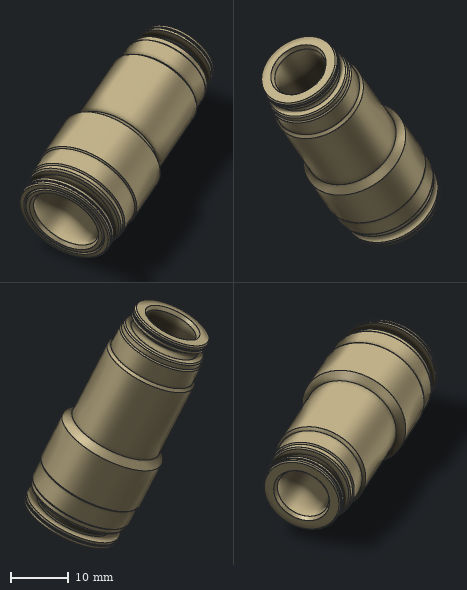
import cadquery as cq

length = 42.3

large_shell_dia = 19.5
large_sleeve_dia = 19.0
large_guide_dia = 18.5
small_shell_dia = 17.0
small_sleeve_dia = 16.0
small_guide_dia = 15.5

large_guide_start = 3.4
large_sleeve_start = 4.5
large_shell_start = 8.45
shoulder_start = 17.45
shoulder_end = 18.85
small_shell_end = 33.85
small_sleeve_end = 37.75
small_guide_end = 38.87
edge_chamfer = 0.25
guide_chamfer_length = 0.4
small_shell_chamfer = 0.5

large_seat_dia = 16.0
small_seat_dia = 12.85
large_seat_start = 2.62
small_seat_end = 39.6

large_flange_dia = 18.0
small_flange_dia = 14.5
large_neck_dia = 13.65
small_neck_dia = 10.35
flange_thickness = 1.52
flange_chamfer = 0.25
groove_start = 0.7
groove_end = 1.0
groove_depth = 0.25
neck_chamfer = 0.25

face_groove_outer_dia = 16.0
face_groove_inner_dia = 15.05
face_groove_depth = 0.25

large_bore_dia = 12.85
small_bore_dia = 9.65
through_bore_dia = 7.5
bore_chamfer = 0.42
bore_chamfer_length = 0.7
large_bore_depth = 16.07
small_bore_depth = 16.07
cone_length = 1.55


def collar_outline(flange_dia, neck_dia):
    """Half outline as (radius, distance from the port face), face to neck."""
    flange = flange_dia / 2
    neck = neck_dia / 2
    return [
        (flange - flange_chamfer, 0),
        (flange, flange_chamfer),
        (flange, groove_start),
        (flange - groove_depth, groove_start),
        (flange - groove_depth, groove_end),
        (flange, groove_end),
        (flange, flange_thickness),
        (neck + neck_chamfer, flange_thickness),
        (neck, flange_thickness + neck_chamfer),
    ]


def revolve_outline(points):
    return cq.Workplane("XY").polyline(points).close().revolve(360, (0, 0, 0), (0, 1, 0))


def make_outside():
    large_collar = collar_outline(large_flange_dia, large_neck_dia)
    small_collar = [(r, length - d) for r, d in collar_outline(small_flange_dia, small_neck_dia)]
    body = [
        (large_neck_dia / 2, large_seat_start),
        (large_seat_dia / 2, large_guide_start),
        (large_guide_dia / 2 - edge_chamfer, large_guide_start),
        (large_guide_dia / 2, large_guide_start + guide_chamfer_length),
        (large_guide_dia / 2, large_sleeve_start),
        (large_sleeve_dia / 2, large_sleeve_start + edge_chamfer),
        (large_sleeve_dia / 2, large_shell_start),
        (large_shell_dia / 2, large_shell_start + edge_chamfer),
        (large_shell_dia / 2, shoulder_start),
        (small_shell_dia / 2, shoulder_end),
        (small_shell_dia / 2, small_shell_end - small_shell_chamfer),
        (small_sleeve_dia / 2, small_shell_end),
        (small_sleeve_dia / 2, small_sleeve_end - edge_chamfer),
        (small_guide_dia / 2, small_sleeve_end),
        (small_guide_dia / 2, small_guide_end - edge_chamfer),
        (small_guide_dia / 2 - edge_chamfer, small_guide_end),
        (small_seat_dia / 2, small_guide_end),
        (small_neck_dia / 2, small_seat_end),
    ]
    return revolve_outline([(0, 0)] + large_collar + body + small_collar[::-1] + [(0, length)])


def make_bore():
    small_bore_start = length - small_bore_depth
    return revolve_outline([
        (0, 0),
        (large_bore_dia / 2 + bore_chamfer, 0),
        (large_bore_dia / 2, bore_chamfer_length),
        (large_bore_dia / 2, large_bore_depth),
        (through_bore_dia / 2, large_bore_depth + cone_length),
        (through_bore_dia / 2, small_bore_start),
        (small_bore_dia / 2, small_bore_start),
        (small_bore_dia / 2, length - bore_chamfer_length),
        (small_bore_dia / 2 + bore_chamfer, length),
        (0, length),
    ])


def make_face_groove():
    return revolve_outline([
        (face_groove_inner_dia / 2, 0),
        (face_groove_outer_dia / 2, 0),
        ((face_groove_inner_dia + face_groove_outer_dia) / 4, face_groove_depth),
    ])


result = make_outside().cut(make_bore()).cut(make_face_groove())